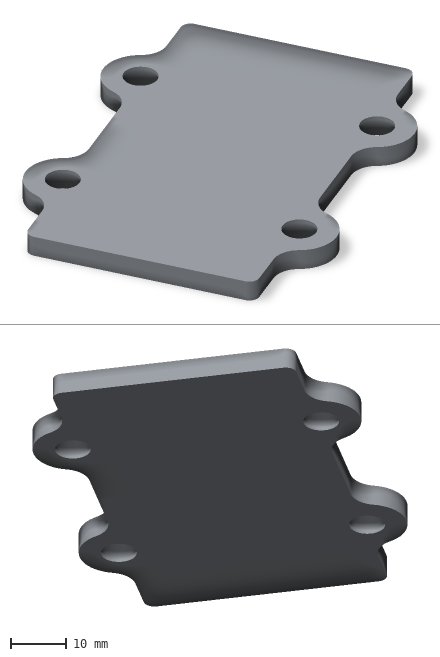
import cadquery as cq

length = 78.5
width = 45.0
thickness = 4.0
corner_radius = 2.0

overall_width = 60.5
hole_spacing_x = 46.0
hole_spacing_y = 38.0
hole_diameter = 6.5
ear_radius = (overall_width - hole_spacing_x) / 2
ear_blend_radius = 5.0

plate = cq.Workplane("XY").rect(width, length).extrude(thickness)
plate = plate.edges("|Z").fillet(corner_radius)

ears = (
    cq.Workplane("XY")
    .rect(hole_spacing_x, hole_spacing_y, forConstruction=True)
    .vertices()
    .circle(ear_radius)
    .extrude(thickness)
)
body = plate.union(ears)

blend_zone_length = hole_spacing_y + 4 * ear_radius
blend_zone = cq.selectors.BoxSelector(
    (-width, -blend_zone_length / 2, 0),
    (width, blend_zone_length / 2, thickness),
)
side_tolerance = 0.01
inside_corners = body.edges("|Z").edges(blend_zone).filter(
    lambda edge: abs(abs(edge.Center().x) - width / 2) < side_tolerance
)
body = inside_corners.fillet(ear_blend_radius)

result = (
    body.faces(">Z")
    .workplane(origin=(0, 0, thickness))
    .rect(hole_spacing_x, hole_spacing_y, forConstruction=True)
    .vertices()
    .hole(hole_diameter)
)